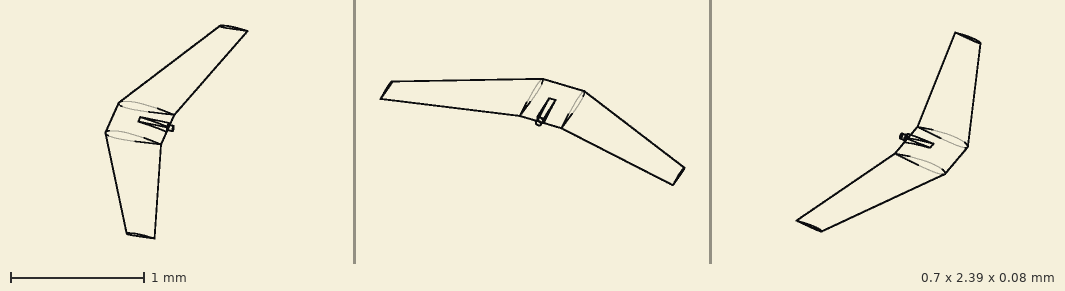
import cadquery as cq
import math

overall_length = 0.7
span = 2.39
centre_width = 0.34
root_chord = 0.438
tip_chord = 0.22

root_thickness = 0.18
tip_thickness = 0.11
camber = 0.023
camber_position = 0.4
tip_nose_z = 0.01
tip_tail_z = 0.019
stations = 10

fairing_front = 0.215
fairing_rear = root_chord
fairing_width = 0.052
fairing_top = 0.047
shaft_diameter = 0.042
shaft_end = 0.48
shaft_z = fairing_top / 2


def half_thickness(u, thickness):
    """Half thickness of a closed-tail four-digit NACA section at chord fraction u."""
    polynomial = 0.2969 * math.sqrt(u) - 0.1260 * u - 0.3516 * u**2 + 0.2843 * u**3 - 0.1036 * u**4
    return 5 * thickness * polynomial


def mean_line(u):
    """Height of the camber line, two parabolas meeting at the camber position."""
    if u < camber_position:
        reach = camber_position
    else:
        reach = 1 - camber_position
    return camber * (1 - ((u - camber_position) / reach) ** 2)


def airfoil(y, nose_x, nose_z, tail_z, chord, thickness):
    """Closed wire of one wing section in the plane at the given Y."""

    def surface_point(u, side):
        height = mean_line(u) + side * half_thickness(u, thickness)
        return cq.Vector(nose_x + u * chord, y, nose_z + u * (tail_z - nose_z) + height * chord)

    fractions = [(1 - math.cos(math.pi * i / stations)) / 2 for i in range(stations + 1)]
    nose = cq.Vector(nose_x, y, nose_z)
    tail = cq.Vector(nose_x + chord, y, tail_z)
    inner = fractions[1:-1]
    upper = [surface_point(u, 1) for u in reversed(inner)]
    lower = [surface_point(u, -1) for u in inner]
    return cq.Wire.assembleEdges([cq.Edge.makeSpline([tail] + upper + [nose] + lower + [tail])])


def root_airfoil(y):
    return airfoil(y, 0, 0, 0, root_chord, root_thickness)


def tip_airfoil(y):
    return airfoil(y, overall_length - tip_chord, tip_nose_z, tip_tail_z, tip_chord, tip_thickness)


def panel(first, second):
    """Straight-sided wing panel between two sections."""
    return cq.Workplane(cq.Solid.makeLoft([first, second], True))


def tail_fairing():
    """Flat-topped block that emerges from the upper surface, reaching down to the root chord."""
    length = fairing_rear - fairing_front
    return (
        cq.Workplane()
        .box(length, fairing_width, fairing_top, centered=(False, True, False))
        .translate((fairing_front, 0, 0))
    )


def motor_shaft():
    """Round pin along X, running from the middle of the fairing out past the tail."""
    start = (fairing_front + fairing_rear) / 2
    return (
        cq.Workplane("YZ", origin=(start, 0, shaft_z))
        .circle(shaft_diameter / 2)
        .extrude(shaft_end - start)
    )


half_centre = centre_width / 2
result = panel(root_airfoil(-half_centre), root_airfoil(half_centre))
for side in (-1, 1):
    result = result.union(panel(root_airfoil(side * half_centre), tip_airfoil(side * span / 2)))
result = result.union(tail_fairing()).union(motor_shaft())